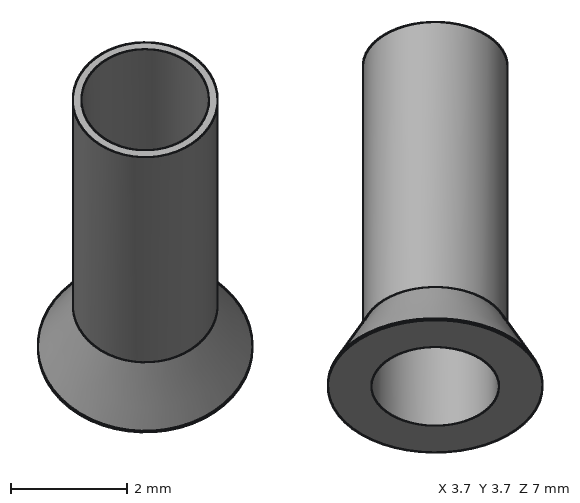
import cadquery as cq

total_height = 7.0
tube_diameter = 2.5
bore_diameter = 2.2
foot_diameter = 3.7
foot_height = 1.2
rim_height = 0.04

tube_radius = tube_diameter / 2
bore_radius = bore_diameter / 2
foot_radius = foot_diameter / 2

wall_section = (
    cq.Workplane("XZ")
    .moveTo(bore_radius, 0)
    .lineTo(foot_radius, 0)
    .lineTo(foot_radius, rim_height)
    .lineTo(tube_radius, foot_height)
    .lineTo(tube_radius, total_height)
    .lineTo(bore_radius, total_height)
    .close()
)

result = wall_section.revolve(360, (0, 0, 0), (0, 1, 0))